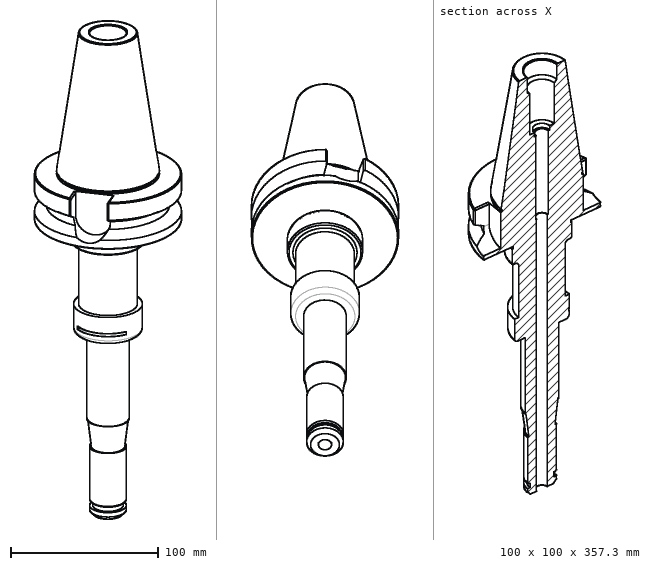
import cadquery as cq
import math

total_length = 357.3

taper_ratio = 7 / 24
gauge_diameter = 70.0
gauge_z = 254.8
taper_length = total_length - gauge_z
taper_tip_diameter = gauge_diameter - taper_ratio * taper_length
tip_chamfer = 0.7
relief_diameter = 68.0
relief_z = 253.5

flange_diameter = 100.0
flange_top_z = 252.5
flange_bottom_z = 218.0
flange_edge_chamfer = 0.7
groove_floor_diameter = 84.0
groove_top_z = 239.7
groove_bottom_z = 224.7
groove_angle = 60
groove_depth = (flange_diameter - groove_floor_diameter) / 2
groove_flank_height = groove_depth / math.tan(math.radians(groove_angle))

slot_width = 25.7
slot_floor_offset = 35.5
slot_bottom_z = 222.0
slot_edge_chamfer = 1.0

collar_diameter = 51.0
collar_bottom_z = 202.5
collar_chamfer = 1.0
undercut_diameter = 49.3
undercut_height = 1.5
neck_diameter = 40.0
neck_chamfer = 1.8

ring_diameter = 46.8
ring_top_z = 155.8
ring_bottom_z = 135.5
ring_edge_radius = 3.2
mark_top_z = 143.5
mark_height = 2.0
mark_depth = 0.5
mark_half_angle = 48

shaft_diameter = 29.0
shaft_bottom_z = 70.7
cone_top_diameter = 28.0
cone_bottom_diameter = 23.0
pilot_diameter = 25.0
pilot_chamfer = 1.0
pilot_top_z = 50.0
end_groove_diameter = 20.7
end_groove_top_z = 9.5
end_groove_bottom_z = 6.0
end_land_bottom_z = 3.0
tip_diameter = 19.5

mouth_diameter = 26.5
counterbore_diameter = 25.0
counterbore_depth = 13.2
thread_diameter = 20.7
thread_depth = 50.0
pocket_diameter = 13.0
pocket_depth = 3.5
hole_diameter = 10.0
hole_depth = 71.5
through_diameter = 9.0


def revolve_profile(points):
    """Revolve (diameter, z) points, closed along the Z axis, into a solid."""
    outline = [(0, points[0][1])]
    outline += [(diameter / 2, z) for diameter, z in points]
    outline += [(0, points[-1][1])]
    return cq.Workplane("XZ").polyline(outline).close().revolve(360, (0, 0, 0), (0, 1, 0))


def holder_body():
    """Taper, grooved flange, collar and neck."""
    flange_edge_diameter = flange_diameter - 2 * flange_edge_chamfer
    return revolve_profile([
        (taper_tip_diameter - 2 * tip_chamfer, total_length),
        (taper_tip_diameter, total_length - tip_chamfer),
        (gauge_diameter, gauge_z),
        (relief_diameter, relief_z),
        (gauge_diameter, flange_top_z),
        (flange_edge_diameter, flange_top_z),
        (flange_diameter, flange_top_z - flange_edge_chamfer),
        (flange_diameter, groove_top_z),
        (groove_floor_diameter, groove_top_z - groove_flank_height),
        (groove_floor_diameter, groove_bottom_z + groove_flank_height),
        (flange_diameter, groove_bottom_z),
        (flange_diameter, flange_bottom_z + flange_edge_chamfer),
        (flange_edge_diameter, flange_bottom_z),
        (undercut_diameter, flange_bottom_z),
        (undercut_diameter, flange_bottom_z - undercut_height),
        (collar_diameter, flange_bottom_z - undercut_height),
        (collar_diameter, collar_bottom_z + collar_chamfer),
        (collar_diameter - 2 * collar_chamfer, collar_bottom_z),
        (neck_diameter + 2 * neck_chamfer, collar_bottom_z),
        (neck_diameter, collar_bottom_z - neck_chamfer),
        (neck_diameter, ring_bottom_z),
    ])


def clamping_ring():
    """Ring around the lower end of the neck, rounded at the bottom."""
    height = ring_top_z - ring_bottom_z
    ring = cq.Workplane("XY", origin=(0, 0, ring_bottom_z)).circle(ring_diameter / 2).extrude(height)
    return ring.faces("<Z").edges().fillet(ring_edge_radius)


def ring_mark():
    """Shallow band, an arc centred on the -Y side of the ring."""
    inner_radius = ring_diameter / 2 - mark_depth
    band_width = 2 * mark_depth
    band_radius = inner_radius + band_width / 2
    section = cq.Workplane("XZ").center(band_radius, mark_top_z - mark_height / 2)
    band = section.rect(band_width, mark_height).revolve(
        2 * mark_half_angle, (-band_radius, 0, 0), (-band_radius, 1, 0))
    return band.rotate((0, 0, 0), (0, 0, 1), -90 - mark_half_angle)


def shaft():
    """Slim shaft, cone and pilot with a groove near the tip."""
    return revolve_profile([
        (shaft_diameter, ring_bottom_z),
        (shaft_diameter, shaft_bottom_z),
        (cone_top_diameter, shaft_bottom_z),
        (cone_bottom_diameter, pilot_top_z),
        (pilot_diameter, pilot_top_z),
        (pilot_diameter, end_groove_top_z + pilot_chamfer),
        (pilot_diameter - 2 * pilot_chamfer, end_groove_top_z),
        (end_groove_diameter, end_groove_top_z),
        (end_groove_diameter, end_groove_bottom_z),
        (pilot_diameter, end_groove_bottom_z),
        (pilot_diameter, end_land_bottom_z),
        (tip_diameter, 0),
    ])


def drive_slot(side):
    """Round-bottomed slot cut into the flange on the +Y (1) or -Y (-1) side."""
    radius = slot_width / 2
    arc_center_z = slot_bottom_z + radius
    outline = (
        cq.Workplane("XZ")
        .moveTo(-radius, gauge_z)
        .lineTo(-radius, arc_center_z)
        .threePointArc((0, slot_bottom_z), (radius, arc_center_z))
        .lineTo(radius, gauge_z)
        .close()
    )
    depth = flange_diameter / 2 - slot_floor_offset
    cutter = outline.extrude(-side * depth)
    return cutter.translate((0, side * slot_floor_offset, 0))


def chamfer_slot_edges(body):
    """Break the edges where the slot walls meet the top and the rim of the flange."""
    half_width = slot_width / 2
    margin = 0.18
    edges = body.edges(cq.selectors.BoxSelector(
        (-half_width - margin, -flange_diameter, groove_top_z + margin),
        (half_width + margin, flange_diameter, flange_top_z + margin)))
    wall_edges = edges.filter(lambda edge: abs(abs(edge.Center().x) - half_width) < margin)
    outer_edges = wall_edges.filter(lambda edge: abs(edge.Center().y) > slot_floor_offset + margin)
    return outer_edges.chamfer(slot_edge_chamfer)


def central_bore():
    """Stepped bore that runs through the whole part."""
    mouth_chamfer = (mouth_diameter - counterbore_diameter) / 2
    counterbore_floor_z = total_length - counterbore_depth
    shoulder_height = (counterbore_diameter - thread_diameter) / 2
    thread_floor_z = total_length - thread_depth
    pocket_floor_z = thread_floor_z - pocket_depth
    hole_floor_z = pocket_floor_z - hole_depth
    return revolve_profile([
        (mouth_diameter, total_length),
        (counterbore_diameter, total_length - mouth_chamfer),
        (counterbore_diameter, counterbore_floor_z),
        (thread_diameter, counterbore_floor_z - shoulder_height),
        (thread_diameter, thread_floor_z),
        (pocket_diameter, thread_floor_z),
        (pocket_diameter, pocket_floor_z),
        (hole_diameter, pocket_floor_z),
        (hole_diameter, hole_floor_z),
        (through_diameter, hole_floor_z),
        (through_diameter, 0),
    ])


body = holder_body()
for side in (1, -1):
    body = body.cut(drive_slot(side))
body = chamfer_slot_edges(body)
result = body.union(clamping_ring()).union(shaft())
result = result.cut(ring_mark()).cut(central_bore())